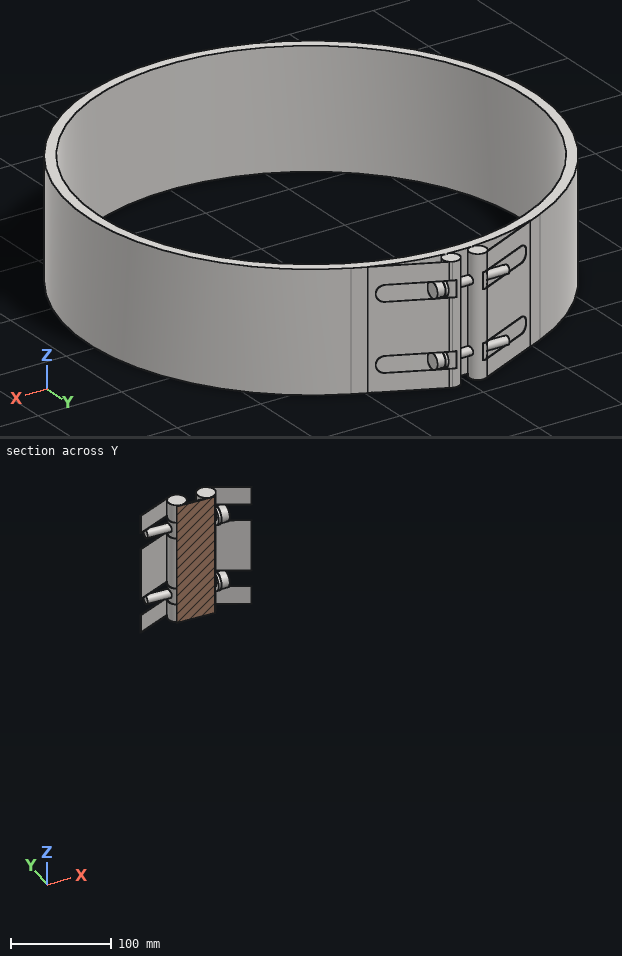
import cadquery as cq
import math

ring_outer_d = 532.5
ring_inner_d = 508.0
height = 139.0
strap_thickness = 0.5

overall_depth = 552
loop_d = 20.0
rod_d = loop_d - 2 * strap_thickness
rod_x = 16.0

bolt_d = 10.0
bolt_spacing = 78.5
bolt_tip_x = -51.0
washer_d = 20.0
washer_start_x = 25.5
washer_thickness = 3.5
head_d = 18.0
head_end_x = 38.0

slot_width = 19.0
slot_length = 77.0

ring_r = ring_outer_d / 2
loop_r = loop_d / 2
rod_y = overall_depth - ring_r - loop_r
bolt_levels = (-bolt_spacing / 2, bolt_spacing / 2)

center_distance = math.hypot(rod_x, rod_y)
tangent_angle = math.atan2(rod_x, rod_y) + math.acos((ring_r - loop_r) / center_distance)
normal_x = math.sin(tangent_angle)
normal_y = math.cos(tangent_angle)


def upright_cylinder(diameter, x=0, y=0):
    return cq.Workplane("XY").center(x, y).circle(diameter / 2).extrude(height / 2, both=True)


def bolt_section(diameter, start_x, end_x, z):
    plane = cq.Plane(origin=(start_x, rod_y, z), xDir=(0, 1, 0), normal=(1, 0, 0))
    return cq.Workplane(plane).circle(diameter / 2).extrude(end_x - start_x)


def strap_end():
    """Straight strap and loop on the +X side, with a slot for each bolt."""
    inner_ring_r = ring_r - strap_thickness
    inner_loop_r = loop_r - strap_thickness
    strap = (
        cq.Workplane("XY", origin=(0, 0, -height / 2))
        .moveTo(ring_r * normal_x, ring_r * normal_y)
        .lineTo(rod_x + loop_r * normal_x, rod_y + loop_r * normal_y)
        .lineTo(rod_x + inner_loop_r * normal_x, rod_y + inner_loop_r * normal_y)
        .lineTo(inner_ring_r * normal_x, inner_ring_r * normal_y)
        .close()
        .extrude(height)
    )
    strap = strap.union(upright_cylinder(loop_d, rod_x, rod_y))
    slot_plane = cq.Plane(
        origin=(rod_x + loop_r * normal_x, rod_y + loop_r * normal_y, 0),
        xDir=(normal_y, -normal_x, 0),
        normal=(normal_x, normal_y, 0),
    )
    slots = (
        cq.Workplane(slot_plane)
        .pushPoints([(0, z) for z in bolt_levels])
        .slot2D(2 * slot_length, slot_width)
        .extrude(loop_d, both=True)
    )
    region_between_rods = cq.Workplane("XY").box(2 * rod_x, 2 * overall_depth, height)
    return strap.cut(slots.cut(region_between_rods)).union(upright_cylinder(rod_d, rod_x, rod_y))


def bolt(z):
    washer_end_x = washer_start_x + washer_thickness
    shank = bolt_section(bolt_d, bolt_tip_x, washer_end_x, z)
    washer = bolt_section(washer_d, washer_start_x, washer_end_x, z)
    head = bolt_section(head_d, washer_end_x, head_end_x, z)
    return shank.union(washer).union(head)


clamp_end = strap_end()
result = upright_cylinder(ring_outer_d).union(clamp_end).union(clamp_end.mirror("YZ"))
for level in bolt_levels:
    result = result.union(bolt(level))
result = result.cut(upright_cylinder(ring_inner_d))